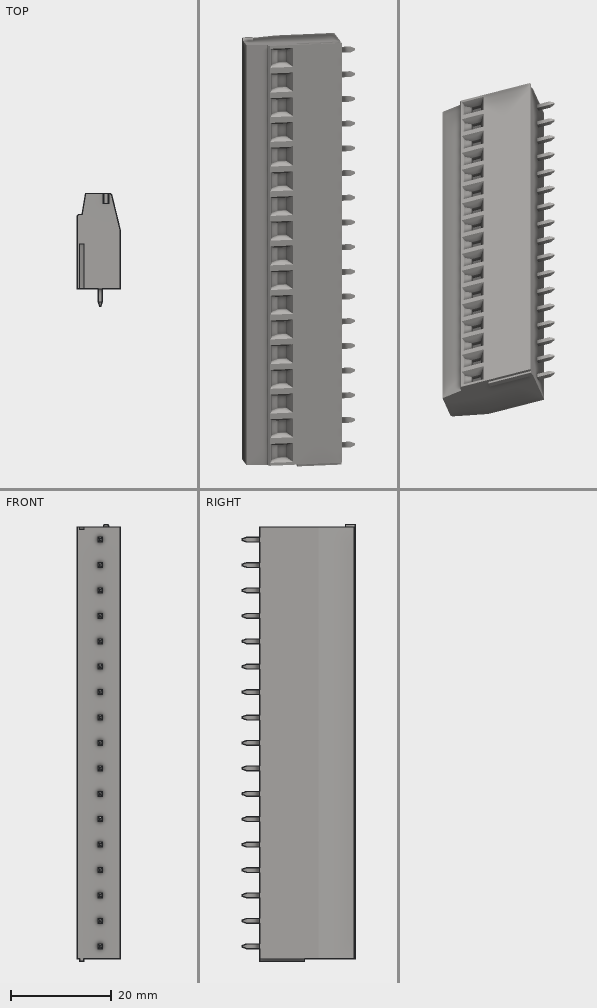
import cadquery as cq

pole_count = 17
pitch = 5.08
body_width = 8.6
body_depth = 19.1
body_height = pole_count * pitch

shoulder_setback = 4.2
shoulder_width = 0.95
shoulder_chamfer_x = 0.22
shoulder_chamfer_y = 0.3
back_face_start = 1.65
back_face_end = 6.75
back_chamfer = 0.3
slope_setback = 7.3

funnel_outer_back = body_depth - 4.65
funnel_knee_back = body_depth - 5.05
funnel_outer_front = body_depth - 9.2
funnel_inner_back = body_depth - 6.25
funnel_inner_front = body_depth - 8.2
funnel_outer_height = 3.9
funnel_inner_height = 2.65
funnel_depth = 1.4
funnel_knee_depth = 0.9
hole_depth = 0.7

pin_x = 4.6
pin_thickness = 0.8
pin_height = 1.0
pin_length = 3.5
pin_taper_length = 0.9
pin_tip_ratio = 0.35

rib_start_x = 0.5
rib_width = 0.85
rib_length = 8.95
rib_height = 0.5

stop_center_x = 5.77
stop_width = 1.2
stop_top_width = 0.75
stop_length = 2.0
stop_height = 0.5


def pole_heights():
    """Z of each pole, spread evenly about the middle of the body."""
    return [(index - (pole_count - 1) / 2) * pitch for index in range(pole_count)]


def make_body():
    """Stepped and sloped cross-section extruded along Z."""
    shoulder_y = body_depth - shoulder_setback
    profile = [
        (0, 0),
        (body_width, 0),
        (body_width, body_depth - slope_setback),
        (back_face_end + back_chamfer / 2, body_depth - back_chamfer),
        (back_face_end - back_chamfer / 2, body_depth),
        (back_face_start, body_depth),
        (shoulder_width, shoulder_y),
        (shoulder_chamfer_x, shoulder_y),
        (0, shoulder_y - shoulder_chamfer_y),
    ]
    return (
        cq.Workplane("XY")
        .workplane(offset=-body_height / 2)
        .polyline(profile)
        .close()
        .extrude(body_height)
    )


def make_tapered_pocket(start_x, end_x, start_opening, end_opening, center_z):
    """Loft along X between two openings, each given as (front Y, back Y, height)."""
    start_front, start_back, start_height = start_opening
    end_front, end_back, end_height = end_opening
    start_center = (start_front + start_back) / 2
    end_center = (end_front + end_back) / 2
    return (
        cq.Workplane("YZ", origin=(start_x, 0, 0))
        .center(start_center, center_z)
        .rect(start_back - start_front, start_height)
        .workplane(offset=end_x - start_x)
        .center(end_center - start_center, 0)
        .rect(end_back - end_front, end_height)
        .loft(combine=True)
    )


def make_funnel(center_z):
    """Funnel that narrows inward from the X = 0 face, with a bent back wall and a straight end."""
    knee_fraction = funnel_knee_depth / funnel_depth
    knee_front = funnel_outer_front + knee_fraction * (funnel_inner_front - funnel_outer_front)
    knee_height = funnel_outer_height + knee_fraction * (funnel_inner_height - funnel_outer_height)
    mouth = (funnel_outer_front, funnel_outer_back, funnel_outer_height)
    knee = (knee_front, funnel_knee_back, knee_height)
    throat = (funnel_inner_front, funnel_inner_back, funnel_inner_height)
    outer_part = make_tapered_pocket(0, funnel_knee_depth, mouth, knee, center_z)
    inner_part = make_tapered_pocket(funnel_knee_depth, funnel_depth, knee, throat, center_z)
    hole_part = make_tapered_pocket(funnel_depth, funnel_depth + hole_depth, throat, throat, center_z)
    return outer_part.union(inner_part).union(hole_part).clean()


def make_pin(center_z):
    """Rectangular pin pointing along -Y with a tapered tip."""
    straight_length = pin_length - pin_taper_length
    shank = (
        cq.Workplane("XZ")
        .center(pin_x, center_z)
        .rect(pin_thickness, pin_height)
        .extrude(straight_length)
    )
    tip = (
        cq.Workplane("XZ", origin=(0, -straight_length, 0))
        .center(pin_x, center_z)
        .rect(pin_thickness, pin_height)
        .workplane(offset=pin_taper_length)
        .rect(pin_thickness * pin_tip_ratio, pin_height * pin_tip_ratio)
        .loft(combine=True)
    )
    return shank.union(tip)


def make_rib(top_z):
    """Straight rib running back from the pin face, with its upper side at top_z."""
    return cq.Workplane("XY").box(rib_width, rib_length, rib_height, centered=False).translate(
        (rib_start_x, 0, top_z - rib_height)
    )


def make_stop():
    """Ridge with sloped flanks, standing on the upper end."""
    base_z = body_height / 2
    return (
        cq.Workplane("XZ", origin=(0, body_depth, 0))
        .polyline([
            (stop_center_x - stop_width / 2, base_z),
            (stop_center_x + stop_width / 2, base_z),
            (stop_center_x + stop_top_width / 2, base_z + stop_height),
            (stop_center_x - stop_top_width / 2, base_z + stop_height),
        ])
        .close()
        .extrude(stop_length)
    )


result = make_body()
result = result.cut(make_rib(body_height / 2))
result = result.union(make_rib(-body_height / 2))
result = result.union(make_stop())
for pole_z in pole_heights():
    result = result.cut(make_funnel(pole_z))
    result = result.union(make_pin(pole_z))